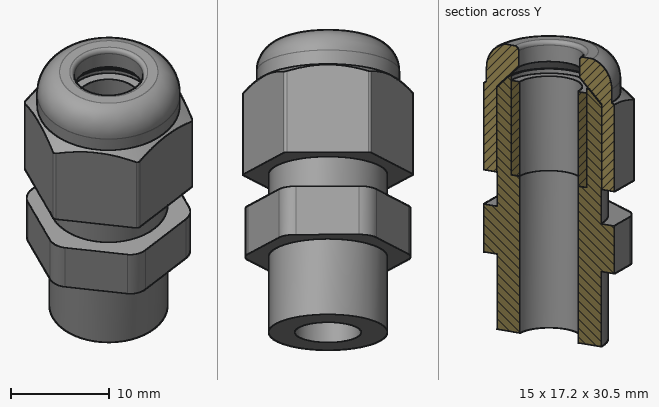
import cadquery as cq
import math

total_height = 30.5
across_flats = 15.0
thread_radius = 6.0
cable_radius = 3.35

nut_bottom = 16.7
dome_radius = 7.23
dome_base = 27.65
dome_top_radius = 4.97
hex_chamfer_top = 26.17
hex_chamfer_drop = 0.9
nut_corner_fillet = 0.4
entry_radius = 3.48
entry_fillet = 0.45
entry_bottom = 28.27

body_hex_bottom = 8.0
body_hex_top = 13.1
body_corner_fillet = 1.98
body_top = 27.2

seal_radius = 4.33
seal_top = 26.75
seal_bottom = nut_bottom

body_tip_radius = entry_radius + (entry_bottom - body_top)
cone_bottom = entry_bottom - (thread_radius - entry_radius)

corner_radius = across_flats / math.sqrt(3)


def hex_prism(bottom, top, corner_fillet):
    """Upright hexagon with rounded corners and two corners on the Y axis."""
    return (
        cq.Workplane("XY", origin=(0, 0, bottom))
        .transformed(rotate=(0, 0, 90))
        .polygon(6, 2 * corner_radius)
        .extrude(top - bottom)
        .edges("|Z")
        .fillet(corner_fillet)
    )


def cylinder(radius, bottom, top):
    return cq.Workplane("XY", origin=(0, 0, bottom)).circle(radius).extrude(top - bottom)


def revolve_about_z(profile):
    """Turn a closed (radius, height) profile around the Z axis."""
    return profile.close().revolve(360, (0, 0, 0), (0, 1, 0))


def make_nut_envelope():
    """Solid of revolution with the dome and the conical chamfer of the hexagon."""
    inset = dome_radius - dome_top_radius
    rise = total_height - dome_base
    arc_radius = (inset**2 + rise**2) / (2 * inset)
    half_angle = math.asin(rise / arc_radius) / 2
    arc_middle = (
        dome_radius - arc_radius * (1 - math.cos(half_angle)),
        dome_base + arc_radius * math.sin(half_angle),
    )
    return revolve_about_z(
        cq.Workplane("XZ")
        .moveTo(0, nut_bottom)
        .lineTo(corner_radius, nut_bottom)
        .lineTo(corner_radius, hex_chamfer_top - hex_chamfer_drop)
        .lineTo(dome_radius, hex_chamfer_top)
        .lineTo(dome_radius, dome_base)
        .threePointArc(arc_middle, (dome_top_radius, total_height))
        .lineTo(0, total_height)
    )


def make_nut_cavity():
    """Threaded hole, cone and cable entry with its rounded rim."""
    diagonal = entry_fillet * math.sqrt(0.5)
    rim_middle = (
        entry_radius + entry_fillet - diagonal,
        total_height - entry_fillet + diagonal,
    )
    return revolve_about_z(
        cq.Workplane("XZ")
        .moveTo(0, nut_bottom)
        .lineTo(thread_radius, nut_bottom)
        .lineTo(thread_radius, cone_bottom)
        .lineTo(entry_radius, entry_bottom)
        .lineTo(entry_radius, total_height - entry_fillet)
        .threePointArc(rim_middle, (entry_radius + entry_fillet, total_height))
        .lineTo(0, total_height)
    )


def make_nut():
    hexagon = hex_prism(nut_bottom, total_height, nut_corner_fillet)
    return hexagon.intersect(make_nut_envelope()).cut(make_nut_cavity())


def make_body():
    tube = revolve_about_z(
        cq.Workplane("XZ")
        .lineTo(thread_radius, 0)
        .lineTo(thread_radius, cone_bottom)
        .lineTo(body_tip_radius, body_top)
        .lineTo(0, body_top)
    )
    wrench_hexagon = hex_prism(body_hex_bottom, body_hex_top, body_corner_fillet)
    cable_hole = cylinder(cable_radius, 0, body_top)
    seal_seat = cylinder(seal_radius, seal_bottom, body_top)
    return tube.union(wrench_hexagon).cut(cable_hole).cut(seal_seat)


def make_seal():
    sleeve = cylinder(seal_radius, seal_bottom, seal_top)
    return sleeve.cut(cylinder(cable_radius, seal_bottom, seal_top))


nut = make_nut()
body = make_body()
seal = make_seal()

result = cq.Compound.makeCompound([nut.val(), body.val(), seal.val()])